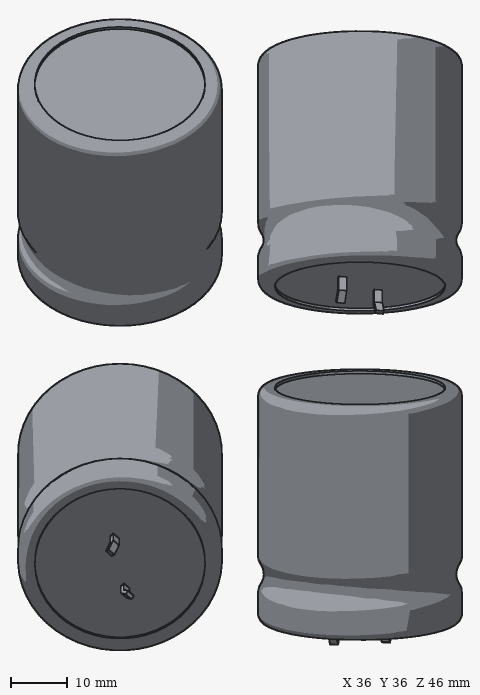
import cadquery as cq
import math

can_radius = 18.0
can_height = 42.0
edge_radius = 1.5

sleeve_thickness = 0.5
opening_radius = 15.0

groove_height = 8.5
groove_depth = 1.0
groove_radius = 4.0
lip_radius = 2.0

pin_spacing = 10.2
pin_width = 1.45
pin_thickness = 0.75
pin_length = 4.0
pin_bend_depth = 2.0
pin_bend_angle = 30.0
pin_turn_angle = 35.0


def can_profile(inset):
    """Half section of the can, moved inwards by the inset on every side."""
    radius = can_radius - inset
    bottom = inset
    top = can_height - inset
    corner = edge_radius - inset
    corner_mid = corner * (1 - math.sqrt(0.5))

    groove_arc = groove_radius + inset
    lip_arc = lip_radius - inset
    sweep = math.acos(1 - groove_depth / (groove_arc + lip_arc))
    half_gap = (groove_arc + lip_arc) * math.sin(sweep)
    half_groove = groove_arc * math.sin(sweep)
    lip_drop = lip_arc * (1 - math.cos(sweep))
    lip_mid_height = half_gap - lip_arc * math.sin(sweep / 2)
    lip_mid_drop = lip_arc * (1 - math.cos(sweep / 2))

    return (
        cq.Workplane("XZ")
        .moveTo(0, bottom)
        .lineTo(radius - corner, bottom)
        .threePointArc((radius - corner_mid, bottom + corner_mid), (radius, bottom + corner))
        .lineTo(radius, groove_height - half_gap)
        .threePointArc(
            (radius - lip_mid_drop, groove_height - lip_mid_height),
            (radius - lip_drop, groove_height - half_groove),
        )
        .threePointArc(
            (radius - groove_depth, groove_height),
            (radius - lip_drop, groove_height + half_groove),
        )
        .threePointArc(
            (radius - lip_mid_drop, groove_height + lip_mid_height),
            (radius, groove_height + half_gap),
        )
        .lineTo(radius, top - corner)
        .threePointArc((radius - corner_mid, top - corner_mid), (radius - corner, top))
        .lineTo(0, top)
        .close()
    )


def make_core():
    return can_profile(sleeve_thickness).revolve(360, (0, 0, 0), (0, 1, 0))


def make_sleeve(core):
    outside = can_profile(0).revolve(360, (0, 0, 0), (0, 1, 0))
    openings = cq.Workplane("XY").circle(opening_radius).extrude(can_height)
    return outside.cut(core).cut(openings)


def make_pin(side):
    """Pin on the given side (-1 or 1) of the axis, standing on the underside of the core."""
    bend = math.radians(pin_bend_angle)
    back = -pin_thickness / 2
    front = pin_thickness / 2
    front_bend_depth = pin_bend_depth - pin_thickness * math.tan(bend / 2)
    tip_back = back + (pin_length - pin_bend_depth) * math.tan(bend)
    tip_front = tip_back + pin_thickness * math.cos(bend)
    tip_front_depth = pin_length - pin_thickness * math.sin(bend)

    turn = -pin_turn_angle if side < 0 else 180 - pin_turn_angle
    return (
        cq.Workplane("YZ")
        .polyline(
            [
                (back, sleeve_thickness),
                (back, -pin_bend_depth),
                (tip_back, -pin_length),
                (tip_front, -tip_front_depth),
                (front, -front_bend_depth),
                (front, sleeve_thickness),
            ]
        )
        .close()
        .extrude(pin_width / 2, both=True)
        .rotate((0, 0, 0), (0, 0, 1), turn)
        .translate((side * pin_spacing / 2, 0, 0))
    )


core = make_core()
sleeve = make_sleeve(core)
pins = [make_pin(side) for side in (-1, 1)]

result = cq.Compound.makeCompound([core.val(), sleeve.val(), *[pin.val() for pin in pins]])